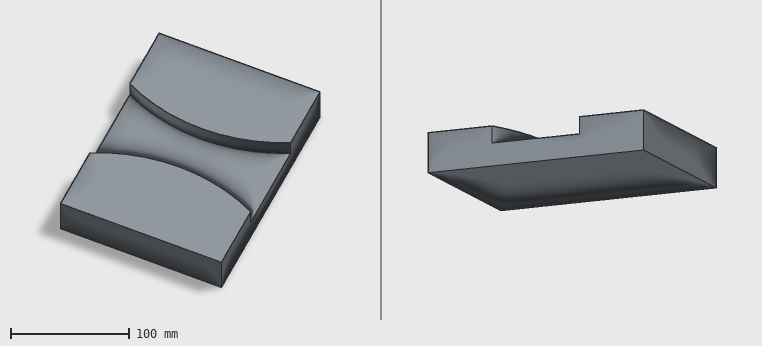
import cadquery as cq

width = 150.0
length = 200.0
height = 35.0

channel_depth = 15.0
waist_width = 45.0
mouth_width = 81.0

half_width = width / 2
half_waist = waist_width / 2
half_mouth = mouth_width / 2
floor_height = height - channel_depth

block = cq.Workplane("XY").box(width, length, height, centered=(True, True, False))

channel = (
    cq.Workplane("XY")
    .workplane(offset=floor_height)
    .moveTo(-half_width, -half_mouth)
    .threePointArc((0, -half_waist), (half_width, -half_mouth))
    .lineTo(half_width, half_mouth)
    .threePointArc((0, half_waist), (-half_width, half_mouth))
    .close()
    .extrude(channel_depth)
)

result = block.cut(channel)